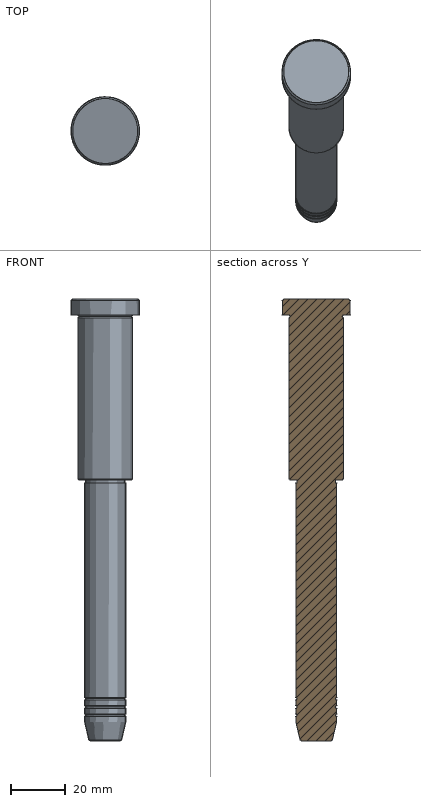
import cadquery as cq

total_length = 161.0
head_diameter = 25.0
head_height = 6.0
head_chamfer = 0.6
shank_diameter = 20.0
shank_length = 60.0
shank_chamfer = 0.5
pin_diameter = 15.0

neck_width = 1.0
neck_depth = 0.3

tip_length = 7.0
tip_diameter = 11.8
tip_chamfer = 0.5

tip_groove_count = 3
groove_width = 1.0
groove_depth = 0.5
groove_pitch = 3 * groove_width
tip_land = groove_pitch - groove_width

head_bottom = total_length - head_height
shank_bottom = head_bottom - shank_length


def cylinder(diameter, bottom, top):
    """Cylinder on the Z axis between two heights."""
    return cq.Workplane("XY").workplane(offset=bottom).circle(diameter / 2).extrude(top - bottom)


def neck_ring():
    """Ring that turns the top end of the pin down to the neck diameter."""
    ring = cq.Workplane("XY").workplane(offset=shank_bottom - neck_width)
    return ring.circle(pin_diameter / 2).circle(pin_diameter / 2 - neck_depth).extrude(neck_width)


def groove_ring(diameter, bottom):
    """Triangular ring, widest at the given diameter, that cuts one V groove."""
    radius = diameter / 2
    return (
        cq.Workplane("XZ")
        .moveTo(radius, bottom)
        .lineTo(radius - groove_depth, bottom + groove_width / 2)
        .lineTo(radius, bottom + groove_width)
        .close()
        .revolve(360, (0, 0, 0), (0, 1, 0))
    )


def make_tip():
    """Cone narrowing downwards to a chamfered end."""
    cone = (
        cq.Workplane("XY")
        .circle(tip_diameter / 2)
        .workplane(offset=tip_length)
        .circle(pin_diameter / 2)
        .loft(ruled=True)
    )
    return cone.faces("<Z").edges().chamfer(tip_chamfer)


head = cylinder(head_diameter, head_bottom, total_length).faces(">Z").edges().chamfer(head_chamfer)
shank = cylinder(shank_diameter, shank_bottom, head_bottom).faces("<Z").edges().chamfer(shank_chamfer)
pin = cylinder(pin_diameter, tip_length, shank_bottom)

pin = pin.cut(neck_ring())

shank = shank.cut(groove_ring(shank_diameter, head_bottom - groove_width))
for index in range(tip_groove_count):
    groove_bottom = tip_length + tip_land + index * groove_pitch
    pin = pin.cut(groove_ring(pin_diameter, groove_bottom))

result = head.union(shank).union(pin).union(make_tip())